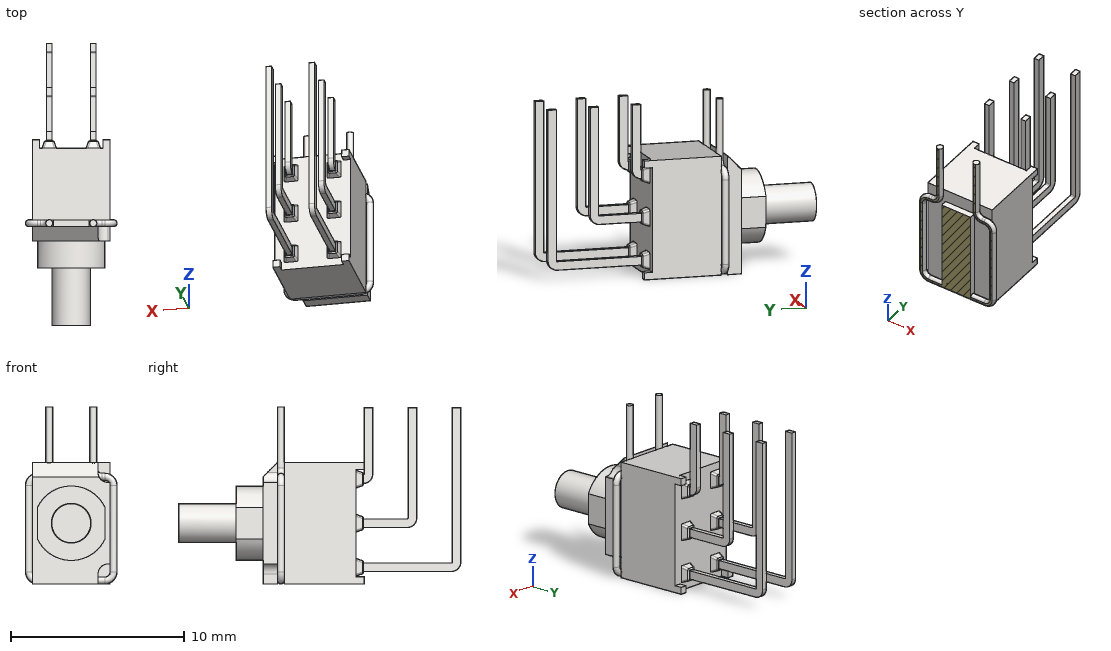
import cadquery as cq
import math


overall_length = 16.31
body_width = 4.5
body_height = 7.03
body_length = 5.85
axis_z = body_height / 2
cap_depth = 0.83
groove_width = 0.39
rear_block_start = cap_depth + groove_width
core_width = 2.02
core_top_z = 6.2

notch_width = 0.7
notch_height = 1.15
notch_radius = 0.57

post_size = 0.42
recess_depth = 0.49
recess_floor_y = body_length - recess_depth

bushing_diameter = 4.3
bushing_flat_width = 3.9
bushing_length = 1.57
bore_diameter = 2.3
plunger_diameter = 2.25

wire_diameter = 0.4
wire_y = cap_depth + groove_width / 2
wire_side_x = 2.45
wire_bend_radius = 0.5
wire_shoulder_z = 6.2
wire_bottom_z = wire_diameter / 2
wire_top_z = 10.25

pin_pitch = 2.55
column_x = pin_pitch / 2
pin_width = 0.33
pin_thickness = 0.5
pin_top_z = 10.2
rows = 3
pin_inner_radius = 0.05
pin_outer_radius = pin_inner_radius + pin_thickness
pin_embed_depth = 0.16
pin_root_y = recess_floor_y - pin_embed_depth
first_leg_y = 6.08
last_leg_back_y = first_leg_y + (rows - 1) * pin_pitch + pin_thickness / 2
plunger_tip_y = last_leg_back_y - overall_length

pad_width = 0.83
pad_height = 1.03
pad_length = 0.44
pad_taper = 19.0
pad_corner_radius = 0.11
pad_tip_chamfer = 0.07


def box(x_range, y_range, z_range):
    """Axis-aligned block between two corner planes on each axis."""
    size = [high - low for low, high in (x_range, y_range, z_range)]
    corner = (x_range[0], y_range[0], z_range[0])
    return cq.Workplane("XY").box(*size, centered=False).translate(corner)


def cylinder(diameter, y_start, y_end):
    """Cylinder on the plunger axis."""
    base = cq.Workplane("XZ", origin=(0, y_start, axis_z)).circle(diameter / 2)
    return base.extrude(y_start - y_end)


def cap_notch():
    """Cutter for the lower cap notch, rounded at its inner corner."""
    outer_x = body_width / 2
    inner_x = outer_x - notch_width
    cutter = box((inner_x, outer_x), (0, cap_depth), (0, notch_height))
    return cutter.edges("|Y and <X and >Z").fillet(notch_radius)


def front_cap():
    """Front plate whose upper front edge slopes back to its rear face."""
    profile = (
        cq.Workplane("YZ")
        .polyline([
            (0, 0),
            (cap_depth, 0),
            (cap_depth, body_height),
            (0, body_height - cap_depth),
        ])
        .close()
    )
    cap = profile.extrude(body_width / 2, both=True)
    lower_notch = cap_notch()
    upper_notch = lower_notch.mirror("XY", (0, 0, axis_z))
    return cap.cut(lower_notch).cut(upper_notch)


def rear_block():
    half_width = body_width / 2
    y_range = (rear_block_start, body_length)
    block = box((-half_width, half_width), y_range, (0, body_height))
    recess_y = (recess_floor_y, body_length)
    opening_x = half_width - post_size
    opening_z = (post_size, body_height - post_size)
    across = box((-half_width, half_width), recess_y, opening_z)
    upright = box((-opening_x, opening_x), recess_y, (0, body_height))
    return block.cut(across).cut(upright)


def groove_core():
    """Web that joins the cap to the rear block inside the wire groove."""
    half_width = core_width / 2
    return box((-half_width, half_width), (cap_depth, rear_block_start), (wire_bottom_z, core_top_z))


def bushing():
    sleeve = cylinder(bushing_diameter, -bushing_length, 0)
    half_flat = bushing_flat_width / 2
    flats = box((-half_flat, half_flat), (-bushing_length, 0), (0, body_height))
    bore = cylinder(bore_diameter, -bushing_length, 0)
    return sleeve.intersect(flats).cut(bore)


def wire_half():
    """The +X half of the bracket: upright, shoulder, side leg and half of the bottom run."""
    radius = wire_bend_radius
    inset = radius * (1 - math.sqrt(0.5))
    path = (
        cq.Workplane("XZ", origin=(0, wire_y, 0))
        .moveTo(column_x, wire_top_z)
        .lineTo(column_x, wire_shoulder_z + radius)
        .threePointArc(
            (column_x + inset, wire_shoulder_z + inset),
            (column_x + radius, wire_shoulder_z),
        )
        .lineTo(wire_side_x - radius, wire_shoulder_z)
        .threePointArc(
            (wire_side_x - inset, wire_shoulder_z - inset),
            (wire_side_x, wire_shoulder_z - radius),
        )
        .lineTo(wire_side_x, wire_bottom_z + radius)
        .threePointArc(
            (wire_side_x - inset, wire_bottom_z + inset),
            (wire_side_x - radius, wire_bottom_z),
        )
        .lineTo(0, wire_bottom_z)
    )
    section = cq.Workplane("XY", origin=(column_x, wire_y, wire_top_z)).circle(wire_diameter / 2)
    return section.sweep(path)


def terminal(x, leg_y, root_z):
    """Flat strip that runs back from the housing and turns upward."""
    half = pin_thickness / 2
    x_range = (x - pin_width / 2, x + pin_width / 2)
    outer = box(x_range, (pin_root_y, leg_y + half), (root_z - half, pin_top_z))
    outer = outer.edges("|X and >Y and <Z").fillet(pin_outer_radius)
    inner = box(x_range, (pin_root_y, leg_y - half), (root_z + half, pin_top_z))
    inner = inner.edges("|X and >Y and <Z").fillet(pin_inner_radius)
    return outer.cut(inner)


def terminal_pad(x, root_z):
    """Tapered pad with rounded corners and a chamfered tip."""
    pad = (
        cq.Workplane("XZ", origin=(x, recess_floor_y, root_z))
        .rect(pad_width, pad_height)
        .extrude(-pad_length, taper=pad_taper)
    )
    pad = pad.edges("not(<Y or >Y)").fillet(pad_corner_radius)
    return pad.faces(">Y").chamfer(pad_tip_chamfer)


result = front_cap().union(groove_core()).union(rear_block()).union(bushing())
result = result.union(cylinder(plunger_diameter, plunger_tip_y, 0))

right_wire = wire_half()
result = result.union(right_wire).union(right_wire.mirror("YZ"))

for x in (-column_x, column_x):
    for row in range(rows):
        root_z = axis_z + pin_pitch * (1 - row)
        leg_y = first_leg_y + pin_pitch * row
        result = result.union(terminal_pad(x, root_z))
        result = result.union(terminal(x, leg_y, root_z))